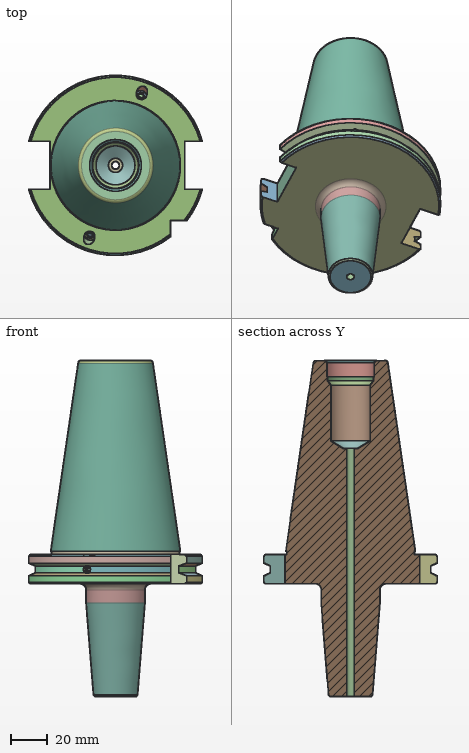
import cadquery as cq
import math

total_height = 181.8
gauge_height = 80.0
flange_top = 76.9
flange_bottom = 60.9

gauge_radius = 34.9
taper_slope = 7 / 48
taper_bottom = 78.5
shank_edge_round = 1.8
relief_radius = 34.7

flange_radius = 48.7
flange_top_chamfer = 1.0
flange_bottom_chamfer = 0.9
groove_floor_radius = 45.3
groove_center = 68.7
groove_floor_width = 3.6
groove_mouth_width = 6.9

nose_radius = 16.0
nose_root_round = 3.0
nose_cone_top = 50.7
nose_tip_radius = 12.0
nose_tip_chamfer = 0.9

bore_mouth_chamfer = 1.3
bore_radius = 12.7
bore_depth = 8.9
seat_radius = 12.4
seat_depth = 11.0
thread_radius = 10.5
thread_start_depth = 13.5
thread_depth = 43.6
coolant_entry_radius = 3.8
coolant_radius = 2.0
drill_half_angle = math.radians(59)

slot_width = 25.8
left_slot_distance = 35.5
right_slot_distance = 37.5
notch_distance = 29.8

recess_angles = (70, 250)
port_circle_radius = 41.8
port_tilt = math.radians(35)
port_radius = 2.9
port_depth = 2.4
port_socket_width = 3.0
plug_radius = 2.0
plug_depth = 2.7
plug_socket_width = 2.0
socket_depth = 1.5


def shank_radius(height):
    return gauge_radius - taper_slope * (height - gauge_height)


def outer_body():
    """Revolved nose, grooved flange and steep taper shank."""
    shank_top_radius = shank_radius(total_height)
    half_floor = groove_floor_width / 2
    half_mouth = groove_mouth_width / 2
    profile = (
        cq.Workplane("XZ")
        .moveTo(0, 0)
        .lineTo(nose_tip_radius - nose_tip_chamfer, 0)
        .lineTo(nose_tip_radius, nose_tip_chamfer)
        .lineTo(nose_radius, nose_cone_top)
        .lineTo(nose_radius, flange_bottom - nose_root_round)
        .radiusArc((nose_radius + nose_root_round, flange_bottom), nose_root_round)
        .lineTo(flange_radius - flange_bottom_chamfer, flange_bottom)
        .lineTo(flange_radius, flange_bottom + flange_bottom_chamfer)
        .lineTo(flange_radius, groove_center - half_mouth)
        .lineTo(groove_floor_radius, groove_center - half_floor)
        .lineTo(groove_floor_radius, groove_center + half_floor)
        .lineTo(flange_radius, groove_center + half_mouth)
        .lineTo(flange_radius, flange_top - flange_top_chamfer)
        .lineTo(flange_radius - flange_top_chamfer, flange_top)
        .lineTo(relief_radius, flange_top)
        .lineTo(relief_radius, taper_bottom)
        .lineTo(shank_radius(taper_bottom), taper_bottom)
        .lineTo(shank_top_radius, total_height)
        .lineTo(0, total_height)
        .close()
    )
    body = profile.revolve(360, (0, 0, 0), (0, 1, 0))
    return body.faces(">Z").edges().fillet(shank_edge_round)


def axial_bore():
    """Revolved cutter: plain mouth, seat, threaded stretch with conical end, coolant hole."""
    bore_bottom = total_height - bore_depth
    seat_bottom = total_height - seat_depth
    thread_bottom = total_height - thread_depth
    cone_depth = (thread_radius - coolant_entry_radius) / math.tan(drill_half_angle)
    profile = (
        cq.Workplane("XZ")
        .moveTo(0, 0)
        .lineTo(coolant_radius, 0)
        .lineTo(coolant_radius, thread_bottom - cone_depth)
        .lineTo(coolant_entry_radius, thread_bottom - cone_depth)
        .lineTo(thread_radius, thread_bottom)
        .lineTo(thread_radius, total_height - thread_start_depth)
        .lineTo(seat_radius, seat_bottom)
        .lineTo(seat_radius, bore_bottom)
        .lineTo(bore_radius, bore_bottom)
        .lineTo(bore_radius, total_height - bore_mouth_chamfer)
        .lineTo(bore_radius + bore_mouth_chamfer, total_height)
        .lineTo(0, total_height)
        .close()
    )
    return profile.revolve(360, (0, 0, 0), (0, 1, 0))


def flange_cutter(x_start, y_start, y_size):
    """Block through the full flange height, reaching past the rim on the +X side."""
    height = flange_top - flange_bottom
    cutter = cq.Workplane("XY").box(flange_radius, y_size, height, centered=False)
    return cutter.translate((x_start, y_start, flange_bottom))


def drive_slot(distance):
    return flange_cutter(distance, -slot_width / 2, slot_width)


def orientation_notch():
    return flange_cutter(notch_distance, -notch_distance - flange_radius, flange_radius)


def screw_recess(mouth, direction, radius, depth, socket_width):
    """Round recess with a hexagon socket in its floor, sunk from the mouth point along the direction."""
    mouth = cq.Vector(*mouth)
    direction = cq.Vector(*direction)
    clearance = 2 * radius
    start = mouth - direction * clearance
    sideways = cq.Vector(0, 1, 0)
    recess = cq.Workplane(cq.Plane(start, sideways, direction)).circle(radius)
    recess = recess.extrude(clearance + depth)
    floor = mouth + direction * depth
    socket_corners = socket_width / math.cos(math.pi / 6)
    socket = cq.Workplane(cq.Plane(floor, sideways, direction)).polygon(6, socket_corners)
    socket = socket.extrude(socket_depth)
    return recess.union(socket)


def flange_port():
    """Recess in the flange face on the +X side, leaning inward as it goes down."""
    return screw_recess(
        (port_circle_radius, 0, flange_top),
        (-math.sin(port_tilt), 0, -math.cos(port_tilt)),
        port_radius,
        port_depth,
        port_socket_width,
    )


def groove_plug():
    """Radial recess in the groove floor on the +X side."""
    return screw_recess(
        (groove_floor_radius, 0, groove_center),
        (-1, 0, 0),
        plug_radius,
        plug_depth,
        plug_socket_width,
    )


result = outer_body().cut(axial_bore())
result = result.cut(drive_slot(right_slot_distance))
result = result.cut(drive_slot(left_slot_distance).rotate((0, 0, 0), (0, 0, 1), 180))
result = result.cut(orientation_notch())
for angle in recess_angles:
    for recess in (flange_port(), groove_plug()):
        result = result.cut(recess.rotate((0, 0, 0), (0, 0, 1), angle))